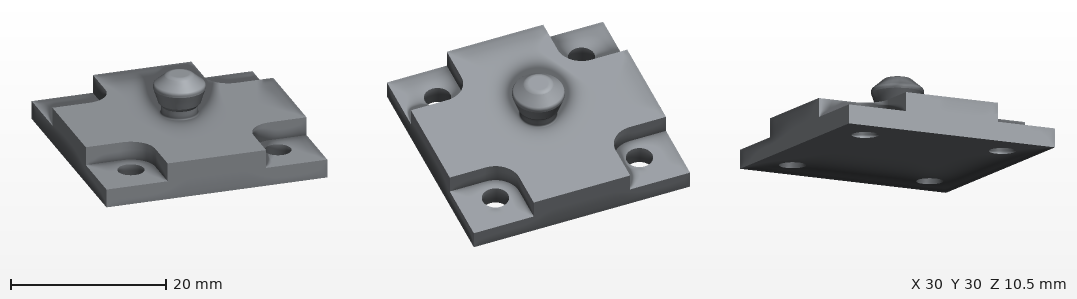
import cadquery as cq
import math

plate_side = 30.0
plate_height = 5.0
hole_diameter = 3.5
hole_inset = 5.0
seat_radius = 3.3
seat_floor = plate_height / 2
hole_offset = plate_side / 2 - hole_inset
seat_side = hole_inset + seat_radius

neck_radius = 4.8 / 2
root_fillet = 0.2
neck_height = 1.15
flare_bottom_radius = 2.75
flare_bottom_height = 1.6
rim_radius = 6.8 / 2
rim_bottom_height = 3.5
rim_top_height = 3.78
rim_round_radius = 0.5
crown_angle = math.radians(40)
crown_round_radius = 1.0
knob_height = 5.5


def make_plate():
    return cq.Workplane("XY").box(plate_side, plate_side, plate_height, centered=(True, True, False))


def make_corner_cut(x_sign, y_sign):
    """Recessed screw seat and through hole at one plate corner."""
    seat = (
        cq.Workplane("XY", origin=(0, 0, seat_floor))
        .center(x_sign * (plate_side - seat_side) / 2, y_sign * (plate_side - seat_side) / 2)
        .rect(seat_side, seat_side)
        .extrude(plate_height - seat_floor)
    )
    inner_x = "<X" if x_sign > 0 else ">X"
    inner_y = "<Y" if y_sign > 0 else ">Y"
    seat = seat.faces(inner_x).edges("|Z").edges(inner_y).fillet(seat_radius)
    hole = (
        cq.Workplane("XY")
        .center(x_sign * hole_offset, y_sign * hole_offset)
        .circle(hole_diameter / 2)
        .extrude(plate_height)
    )
    return seat.union(hole)


def arc_point(center, radius, angle):
    """Point on an arc, with the angle measured from straight up towards outward."""
    return (center[0] + radius * math.sin(angle), center[1] + radius * math.cos(angle))


def make_knob():
    """Revolve the half profile: flared root, neck, flare, rounded rim and conical crown."""
    root_center = (neck_radius + root_fillet, root_fillet)
    root_middle = arc_point(root_center, root_fillet, math.radians(225))

    rim_center = (rim_radius - rim_round_radius, rim_top_height)
    rim_middle = arc_point(rim_center, rim_round_radius, (crown_angle + math.pi / 2) / 2)
    cone_bottom = arc_point(rim_center, rim_round_radius, crown_angle)

    crown_center_height = knob_height - crown_round_radius
    cone_top_height = crown_center_height + crown_round_radius * math.cos(crown_angle)
    cone_top_radius = cone_bottom[0] - (cone_top_height - cone_bottom[1]) / math.tan(crown_angle)
    tip_radius = cone_top_radius - crown_round_radius * math.sin(crown_angle)
    crown_center = (tip_radius, crown_center_height)
    crown_middle = arc_point(crown_center, crown_round_radius, crown_angle / 2)

    return (
        cq.Workplane("XZ", origin=(0, 0, plate_height))
        .lineTo(neck_radius + root_fillet, 0)
        .threePointArc(root_middle, (neck_radius, root_fillet))
        .lineTo(neck_radius, neck_height)
        .lineTo(flare_bottom_radius, flare_bottom_height)
        .lineTo(rim_radius, rim_bottom_height)
        .lineTo(rim_radius, rim_top_height)
        .threePointArc(rim_middle, cone_bottom)
        .lineTo(cone_top_radius, cone_top_height)
        .threePointArc(crown_middle, (tip_radius, knob_height))
        .lineTo(0, knob_height)
        .close()
        .revolve(360, (0, 0, 0), (0, 1, 0))
    )


result = make_plate()
for x_sign in (-1, 1):
    for y_sign in (-1, 1):
        result = result.cut(make_corner_cut(x_sign, y_sign))
result = result.union(make_knob())